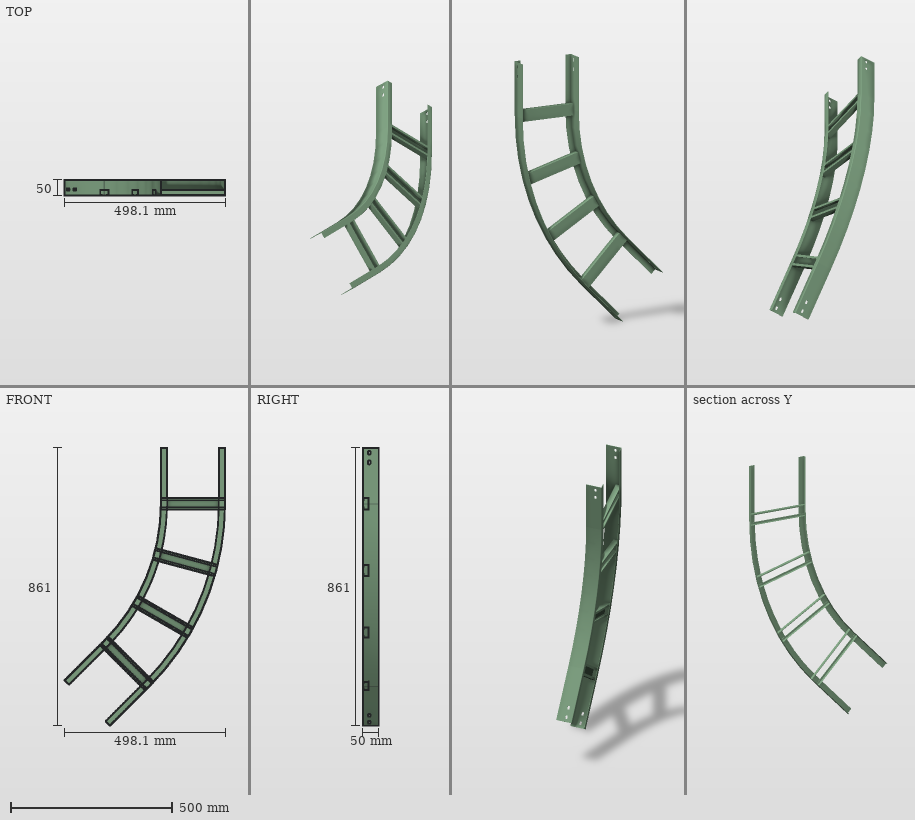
import cadquery as cq
import math


bend_angle = 45.0
outer_radius = 800.0
ladder_width = 200.0
inner_radius = outer_radius - ladder_width
straight_length = 173.0

sheet = 1.5
rail_depth = 50.0
flange_width = 20.0
corner_radius = 1.75
front = -rail_depth / 2

slot_length = 12.0
slot_width = 7.0
slot_end_distances = (15.0, 45.0)
slot_from_front = 20.0

rung_count = 4
rung_depth = 17.5
rung_width = 37.5
rung_lip = 7.5
rung_opening = rung_width - 2 * rung_lip


def turned(shape, angle):
    """Carry a shape around the bend, from its upper end towards its lower end."""
    return shape.rotate((0, 0, 0), (0, 1, 0), angle)


def at_both_ends(upper):
    """Pair a shape on the upper straight with its mirror image on the lower straight."""
    return upper.union(turned(upper.mirror("XY"), bend_angle))


def rail_section(web_radius, inward):
    """Angle outline with a rounded outer corner; inward (+1 or -1) is the flange direction in X."""

    def point(across, back):
        return (web_radius + inward * across, front + back)

    arc_inset = corner_radius * (1 - math.sqrt(0.5))
    return (
        cq.Workplane("XY")
        .moveTo(*point(corner_radius, 0))
        .lineTo(*point(flange_width, 0))
        .lineTo(*point(flange_width, sheet))
        .lineTo(*point(sheet, sheet))
        .lineTo(*point(sheet, rail_depth))
        .lineTo(*point(0, rail_depth))
        .lineTo(*point(0, corner_radius))
        .threePointArc(point(arc_inset, arc_inset), point(corner_radius, 0))
        .close()
    )


def web_slots(web_radius):
    """Slots through one rail web, at both ends of the rail."""
    positions = [
        (front + slot_from_front, straight_length - distance) for distance in slot_end_distances
    ]
    upper = (
        cq.Workplane("YZ", origin=(web_radius, 0, 0))
        .pushPoints(positions)
        .slot2D(slot_length, slot_width, 90)
        .extrude(2 * sheet, both=True)
    )
    return at_both_ends(upper)


def rail(web_radius, inward):
    """Side rail with the outer face of its web at web_radius."""
    straights = at_both_ends(rail_section(web_radius, inward).extrude(straight_length))
    curve = rail_section(web_radius, inward).revolve(bend_angle, (0, 0, 0), (0, 1, 0))
    return straights.union(curve).cut(web_slots(web_radius))


def rung():
    """Lipped channel spanning the rail webs at the upper end of the bend."""
    length = ladder_width - 2 * sheet
    mid_radius = (inner_radius + outer_radius) / 2

    def block(depth, width, back):
        return (
            cq.Workplane("XY", origin=(mid_radius, front + sheet + back, 0))
            .box(length, depth, width, centered=(True, False, True))
        )

    body = block(rung_depth, rung_width, 0)
    cavity = block(rung_depth - 2 * sheet, rung_width - 2 * sheet, sheet)
    opening = block(sheet, rung_opening, 0)
    return body.cut(cavity).cut(opening)


result = rail(inner_radius, 1).union(rail(outer_radius, -1))
for index in range(rung_count):
    result = result.union(turned(rung(), bend_angle * index / (rung_count - 1)))